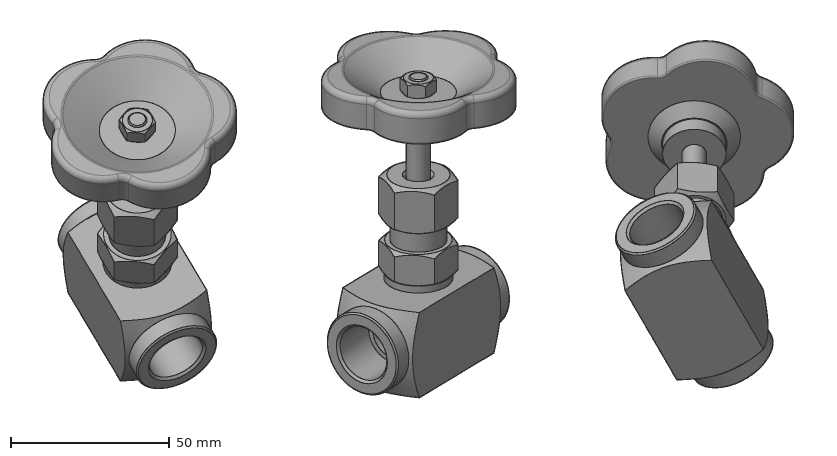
import cadquery as cq
import math

body_side = 30.0
body_length = 48.0
pipe_length = 60.1
pipe_diameter = 28.0
pipe_chamfer = 0.5
corner_angle = 30.0

port_diameter = 18.3
port_mouth_diameter = 20.0
port_depth = 15.9
drill_diameter = 15.0
drill_depth = 3.1
drill_point_angle = 118.0
passage_diameter = 7.0
passage_drop = 4.1
passage_end = 3.1

collar_diameter = 21.8
collar_height = 2.4
nut_flats = 22.0
gland_nut_face_diameter = 20.0
lower_nut_face_diameter = 21.3
lower_nut_height = 11.1
neck_diameter = 18.0
neck_height = 6.9
gland_nut_height = 15.9
countersink_diameter = 10.0
stem_diameter = 7.8

total_height = 103.5
lobe_count = 5
lobe_radius = 16.4
lobe_offset = 15.1
groove_radius = 3.4
wheel_turn = 2.0
rim_height = 11.1
rim_top_fillet = 2.0
rim_bottom_fillet = 0.5
bowl_diameter = 47.6
bowl_floor_diameter = 24.0
bowl_depth = 8.1
bowl_edge_fillet = 1.0
cone_height = 3.5
cone_top_diameter = 29.2
cone_bottom_diameter = 20.7
hub_diameter = 20.0
hub_height = 5.2

wheel_nut_flats = 10.0
wheel_nut_face_diameter = 9.5
wheel_nut_height = 5.1
tip_diameter = 6.0
tip_height = 0.5
tip_chamfer = 0.4

axis_level = body_side / 2
lower_nut_level = body_side + collar_height
neck_level = lower_nut_level + lower_nut_height
gland_nut_level = neck_level + neck_height
gland_top_level = gland_nut_level + gland_nut_height
rim_level = total_height - rim_height
cone_level = rim_level - cone_height
hub_level = cone_level - hub_height
floor_level = total_height - bowl_depth
tip_level = floor_level + wheel_nut_height


def cylinder(diameter, height, level):
    return cq.Workplane("XY").workplane(offset=level).circle(diameter / 2).extrude(height)


def frustum(bottom_diameter, top_diameter, height, level):
    solid = cq.Solid.makeCone(
        bottom_diameter / 2, top_diameter / 2, height, cq.Vector(0, 0, level)
    )
    return cq.Workplane(obj=solid)


def turned_ends(face_radius, corner_radius, length):
    """Cylinder along Z from zero, coned at both ends at the corner angle."""
    drop = (corner_radius - face_radius) * math.tan(math.radians(corner_angle))
    profile = [
        (0, 0),
        (face_radius, 0),
        (corner_radius, drop),
        (corner_radius, length - drop),
        (face_radius, length),
        (0, length),
    ]
    return cq.Workplane("XZ").polyline(profile).close().revolve(360, (0, 0, 0), (0, 1, 0))


def hex_nut(flats, face_diameter, height, level):
    """Hexagon with corners on X and both ends chamfered."""
    corners = flats / math.cos(math.pi / 6)
    prism = cq.Workplane("XY").polygon(6, corners).extrude(height)
    envelope = turned_ends(face_diameter / 2, corners / 2, height)
    return prism.intersect(envelope).translate((0, 0, level))


def along_x(solid):
    """Turn a solid built up +Z so that it points along +X on the port axis."""
    return solid.rotate((0, 0, 0), (0, 1, 0), 90).translate((0, 0, axis_level))


def make_port():
    """Cutter for the port on the -X side."""
    mouth_depth = (port_mouth_diameter - port_diameter) / 2
    drill_end = port_depth + drill_depth
    point_height = drill_diameter / 2 / math.tan(math.radians(drill_point_angle / 2))
    profile = [
        (0, 0),
        (port_mouth_diameter / 2, 0),
        (port_diameter / 2, mouth_depth),
        (port_diameter / 2, port_depth),
        (drill_diameter / 2, port_depth),
        (drill_diameter / 2, drill_end),
        (0, drill_end + point_height),
    ]
    bore = cq.Workplane("XZ").polyline(profile).close().revolve(360, (0, 0, 0), (0, 1, 0))
    passage_length = pipe_length / 2 - passage_end - port_depth
    passage = cylinder(passage_diameter, passage_length, port_depth)
    cutter = along_x(bore).union(along_x(passage).translate((0, 0, -passage_drop)))
    return cutter.translate((-pipe_length / 2, 0, 0))


def make_body():
    block = cq.Workplane("XY").rect(body_side, body_side).extrude(body_length)
    envelope = turned_ends(pipe_diameter / 2, body_side / math.sqrt(2), body_length)
    block = along_x(block.intersect(envelope)).translate((-body_length / 2, 0, 0))
    pipe = cylinder(pipe_diameter, pipe_length, 0).edges().chamfer(pipe_chamfer)
    pipe = along_x(pipe).translate((-pipe_length / 2, 0, 0))
    port = make_port()
    return block.union(pipe).cut(port).cut(port.mirror("YZ"))


def make_bonnet():
    collar = cylinder(collar_diameter, collar_height, body_side)
    lower_nut = hex_nut(nut_flats, lower_nut_face_diameter, lower_nut_height, lower_nut_level)
    neck = cylinder(neck_diameter, neck_height, neck_level)
    gland_nut = hex_nut(nut_flats, gland_nut_face_diameter, gland_nut_height, gland_nut_level)
    sink_depth = (countersink_diameter - stem_diameter) / 2
    countersink = frustum(
        stem_diameter, countersink_diameter, sink_depth, gland_top_level - sink_depth
    )
    return collar.union(lower_nut).union(neck).union(gland_nut.cut(countersink))


def make_stem():
    """Stem from inside the gland nut up into the wheel hub."""
    return cylinder(stem_diameter, cone_level - gland_nut_level, gland_nut_level)


def polar(radius, degrees):
    angle = math.radians(degrees)
    return (radius * math.cos(angle), radius * math.sin(angle))


def make_rim():
    """Lobed plate: convex lobe arcs joined by tangent concave groove arcs."""
    half_pitch = 180 / lobe_count
    along, across = polar(lobe_offset, half_pitch)
    groove_centre = along + math.sqrt((lobe_radius + groove_radius) ** 2 - across**2)
    share = groove_radius / (lobe_radius + groove_radius)
    tangent_along = groove_centre + (along - groove_centre) * share
    tangent_across = across * share
    tangent_radius = math.hypot(tangent_along, tangent_across)
    tangent_angle = math.degrees(math.atan2(tangent_across, tangent_along))

    first_groove = wheel_turn - half_pitch
    outline = cq.Workplane("XY").workplane(offset=rim_level)
    outline = outline.moveTo(*polar(tangent_radius, first_groove + tangent_angle))
    for index in range(lobe_count):
        lobe = wheel_turn + index * 2 * half_pitch
        groove = lobe + half_pitch
        outline = outline.threePointArc(
            polar(lobe_offset + lobe_radius, lobe),
            polar(tangent_radius, groove - tangent_angle),
        )
        outline = outline.threePointArc(
            polar(groove_centre - groove_radius, groove),
            polar(tangent_radius, groove + tangent_angle),
        )
    rim = outline.close().extrude(rim_height)
    rim = rim.faces(">Z").edges().fillet(rim_top_fillet)
    return rim.faces("<Z").edges().fillet(rim_bottom_fillet)


def make_wheel():
    cone = frustum(cone_bottom_diameter, cone_top_diameter, cone_height, cone_level)
    hub = cylinder(hub_diameter, hub_height, hub_level)
    bowl = frustum(bowl_floor_diameter, bowl_diameter, bowl_depth, floor_level)
    wheel = make_rim().cut(bowl)
    bowl_edge = wheel.faces(">Z").edges(cq.selectors.RadiusNthSelector(-1))
    wheel = bowl_edge.fillet(bowl_edge_fillet)
    return wheel.union(cone).union(hub)


def make_wheel_nut():
    nut = hex_nut(wheel_nut_flats, wheel_nut_face_diameter, wheel_nut_height, floor_level)
    tip = cylinder(tip_diameter, tip_height, tip_level)
    return nut.union(tip.faces(">Z").edges().chamfer(tip_chamfer))


result = make_body().union(make_bonnet()).union(make_stem()).union(make_wheel())
result = result.union(make_wheel_nut())